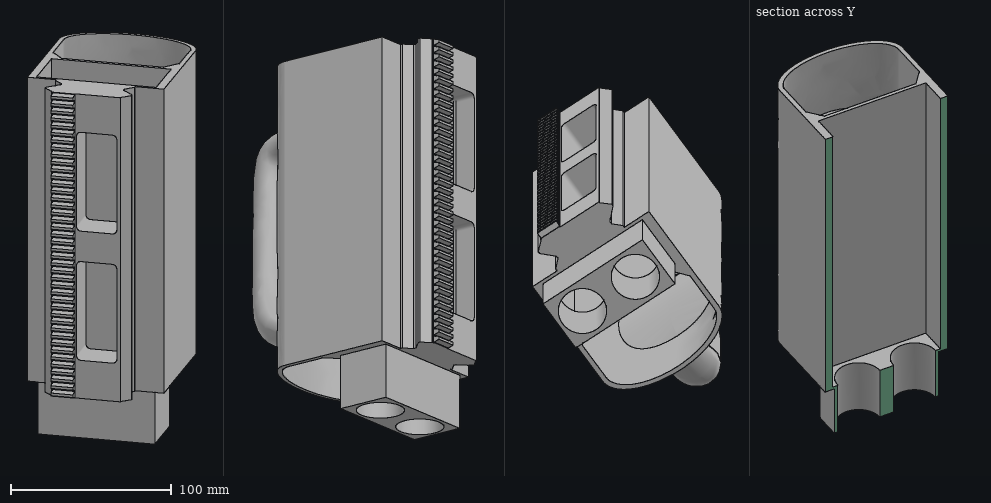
import cadquery as cq
import math


BODY_WIDTH = 88.08
BODY_HEIGHT = 200.0
BACK_START_Y = 76.5
BACK_APEX_Y = 97.9

POCKET_WIDTH = 77.0
POCKET_FRONT_Y = 2.0
POCKET_DEPTH_Y = 36.0
FRONT_FLOOR = 2.2
BLOCK_CENTER_Y = POCKET_FRONT_Y + POCKET_DEPTH_Y / 2
PLUG_WIDTH = 75.2
PLUG_DEPTH_Y = 35.7
PLUG_HEIGHT = 34.95
BORE_DIAMETER = 30.0
BORE_SPACING = 40.0

CAVITY_WIDTH = 81.4
CAVITY_FRONT_Y = 40.4
CAVITY_CORNER_X = 7.9
CAVITY_CORNER_Y = 9.5
CAVITY_BACK_START_Y = 75.6
CAVITY_APEX_Y = 95.0

RECESS_CENTER_Z = 103.0
RECESS_HALF_HEIGHT = 47.0
RECESS_CENTER_Y = 98.4
RECESS_DEPTH = 10.5
RECESS_WALL = 4.1

RAIL_NECK_HALF = 20.3
RAIL_ROOT_HALF = 25.5
RAIL_HEAD_HALF = 27.8
RAIL_FACE_HALF = 22.2
RAIL_ROOT_Y = -1.4
RAIL_NECK_Y = -6.4
RAIL_NECK_END_Y = -8.3
RAIL_HEAD_Y = -15.7
RAIL_HEAD_END_Y = -17.1
RAIL_BEVEL_END_Y = -22.2
RAIL_FACE_Y = -22.9

WINDOW_WIDTH = 26.0
WINDOW_HEIGHT = 65.0
WINDOW_CENTER_X = 6.9
WINDOW_SPACING = 85.0
WINDOW_CORNER_RADIUS = 3.0

TOOTH_COUNT = 42
RACK_WIDTH = 14.3
RACK_CENTER_X = -14.3
RACK_BASE_Y = -23.4
RACK_TIP_Y = -27.16
TOOTH_ROOT_SHARE = 0.85
TOOTH_TIP_SHARE = 0.4

HANDLE_ROOT_Y = 95.8
ROOT_WIDTH = 36.0
NECK_WIDTH = 29.5
BEND_WIDTH = 28.0
GRIP_WIDTH = 23.0

HANDLE_STATIONS = [
    ((HANDLE_ROOT_Y, 178.5), (HANDLE_ROOT_Y, 149.0), ROOT_WIDTH),
    ((101.7, 174.2), (101.7, 152.6), NECK_WIDTH),
    ((125.0, 162.5), (111.5, 150.0), BEND_WIDTH),
    ((131.9, 144.2), (112.8, 141.0), GRIP_WIDTH),
    ((133.0, 105.0), (112.0, 105.0), GRIP_WIDTH),
    ((133.4, 69.3), (111.5, 69.3), GRIP_WIDTH),
    ((128.4, 42.5), (107.5, 58.5), BEND_WIDTH),
    ((101.7, 26.6), (102.5, 51.0), NECK_WIDTH),
    ((HANDLE_ROOT_Y, 21.5), (HANDLE_ROOT_Y, 56.0), ROOT_WIDTH),
]


def arched_prism(half_width, front_y, corner_x, corner_y, back_start_y, apex_y):
    """Full-height prism with cut front corners and a half-ellipse back."""
    back_rise = apex_y - back_start_y
    front = [(-half_width, back_start_y), (-half_width, front_y + corner_y)]
    if corner_x:
        front += [(-half_width + corner_x, front_y), (half_width - corner_x, front_y)]
    front += [(half_width, front_y + corner_y), (half_width, back_start_y)]
    prism = cq.Workplane("XY").polyline(front).close().extrude(BODY_HEIGHT)
    arch = (
        cq.Workplane("XY").center(0, back_start_y)
        .ellipse(half_width, back_rise).extrude(BODY_HEIGHT)
    )
    return prism.union(arch)


def recess_cylinder(growth):
    """Elliptic cylinder along X that shapes the finger recess."""
    return (
        cq.Workplane("YZ").center(RECESS_CENTER_Y, RECESS_CENTER_Z)
        .ellipse(RECESS_DEPTH + growth, RECESS_HALF_HEIGHT + growth)
        .extrude(BODY_WIDTH, both=True)
    )


def make_sleeve():
    outer = arched_prism(BODY_WIDTH / 2, 0, 0, 0, BACK_START_Y, BACK_APEX_Y)
    cavity = arched_prism(
        CAVITY_WIDTH / 2, CAVITY_FRONT_Y, CAVITY_CORNER_X, CAVITY_CORNER_Y,
        CAVITY_BACK_START_Y, CAVITY_APEX_Y,
    )
    cavity = cavity.cut(recess_cylinder(RECESS_WALL))
    return outer.cut(cavity).cut(recess_cylinder(0))


def make_pocket():
    """Pocket open at the top and closed by a thin floor."""
    return (
        cq.Workplane("XY", origin=(0, BLOCK_CENTER_Y, FRONT_FLOOR))
        .rect(POCKET_WIDTH, POCKET_DEPTH_Y).extrude(BODY_HEIGHT)
    )


def make_plug():
    return (
        cq.Workplane("XY", origin=(0, BLOCK_CENTER_Y, 0))
        .rect(PLUG_WIDTH, PLUG_DEPTH_Y).extrude(-PLUG_HEIGHT)
    )


def make_bores():
    """Two bores running through the plug and the pocket floor."""
    return (
        cq.Workplane("XY", origin=(0, BLOCK_CENTER_Y, -PLUG_HEIGHT))
        .rarray(BORE_SPACING, 1, 2, 1)
        .circle(BORE_DIAMETER / 2).extrude(PLUG_HEIGHT + FRONT_FLOOR)
    )


def make_rail():
    right_side = [
        (RAIL_ROOT_HALF, 0),
        (RAIL_ROOT_HALF, RAIL_ROOT_Y),
        (RAIL_NECK_HALF, RAIL_NECK_Y),
        (RAIL_NECK_HALF, RAIL_NECK_END_Y),
        (RAIL_HEAD_HALF, RAIL_HEAD_Y),
        (RAIL_HEAD_HALF, RAIL_HEAD_END_Y),
        (RAIL_FACE_HALF, RAIL_BEVEL_END_Y),
        (RAIL_FACE_HALF, RAIL_FACE_Y),
    ]
    left_side = [(-x, y) for x, y in reversed(right_side)]
    rail = cq.Workplane("XY").polyline(right_side + left_side).close().extrude(BODY_HEIGHT)
    windows = (
        cq.Workplane("XZ").center(WINDOW_CENTER_X, BODY_HEIGHT / 2)
        .rarray(1, WINDOW_SPACING, 1, 2)
        .rect(WINDOW_WIDTH, WINDOW_HEIGHT).extrude(-RAIL_FACE_Y)
        .edges("|Y").fillet(WINDOW_CORNER_RADIUS)
    )
    return rail.cut(windows)


def make_rack():
    pitch = BODY_HEIGHT / TOOTH_COUNT
    root_half = pitch * TOOTH_ROOT_SHARE / 2
    tip_half = pitch * TOOTH_TIP_SHARE / 2
    outline = [(RAIL_FACE_Y, 0), (RACK_BASE_Y, 0)]
    for tooth in range(TOOTH_COUNT):
        center_z = (tooth + 0.5) * pitch
        outline += [
            (RACK_BASE_Y, center_z - root_half),
            (RACK_TIP_Y, center_z - tip_half),
            (RACK_TIP_Y, center_z + tip_half),
            (RACK_BASE_Y, center_z + root_half),
        ]
    outline += [(RACK_BASE_Y, BODY_HEIGHT), (RAIL_FACE_Y, BODY_HEIGHT)]
    return (
        cq.Workplane("YZ").workplane(offset=RACK_CENTER_X - RACK_WIDTH / 2)
        .polyline(outline).close().extrude(RACK_WIDTH)
    )


def handle_section(outer, inner, width):
    """Elliptic wire spanning from the outer to the inner point, symmetric about X = 0."""
    span_y = outer[0] - inner[0]
    span_z = outer[1] - inner[1]
    middle = cq.Vector(0, (outer[0] + inner[0]) / 2, (outer[1] + inner[1]) / 2)
    across = cq.Vector(0, span_y, span_z).normalized()
    along = across.cross(cq.Vector(1, 0, 0))
    return cq.Wire.makeEllipse(math.hypot(span_y, span_z) / 2, width / 2, middle, along, across)


def make_handle():
    sections = [handle_section(*station) for station in HANDLE_STATIONS]
    return cq.Workplane(cq.Solid.makeLoft(sections))


result = (
    make_sleeve()
    .cut(make_pocket())
    .union(make_plug())
    .cut(make_bores())
    .union(make_rail())
    .union(make_rack())
    .union(make_handle())
)